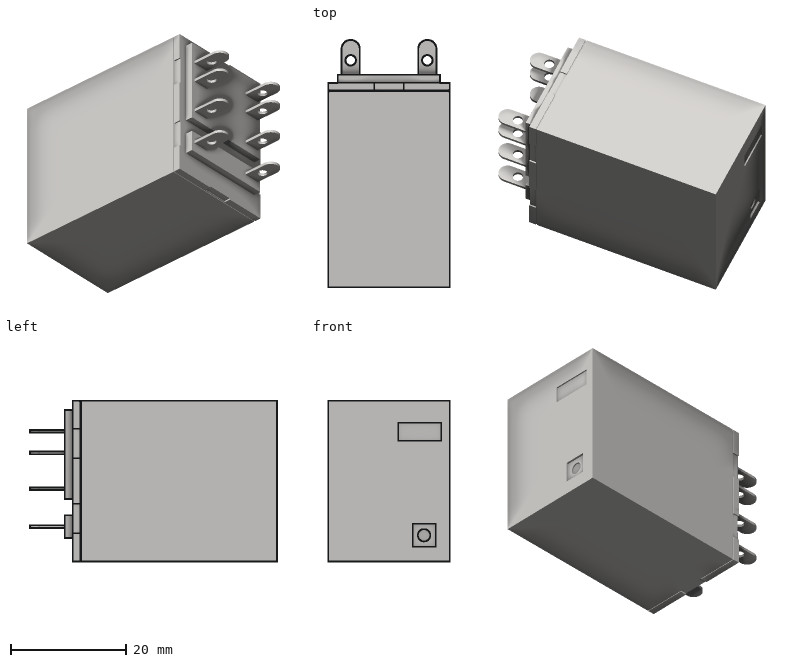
import cadquery as cq

WIDTH = 21.08
HEIGHT = 27.94
TOTAL_LENGTH = 42.926

SEAM_LENGTH = 0.2
PLATE_LENGTH = 1.27
PAD_LENGTH = 1.4
TAB_LENGTH = 6.05
CASE_LENGTH = TOTAL_LENGTH - SEAM_LENGTH - PLATE_LENGTH - PAD_LENGTH - TAB_LENGTH

CASE_BACK = CASE_LENGTH
PLATE_FRONT = CASE_BACK + SEAM_LENGTH
PLATE_BACK = PLATE_FRONT + PLATE_LENGTH
PAD_BACK = PLATE_BACK + PAD_LENGTH

SEAM_DEPTH = 0.127

NOTCH_WIDTH = 5.08
NOTCH_DEPTH = 0.254
SIDE_NOTCH_OFFSET = 6.5

PAD_WIDTH = 17.78
UPPER_PAD_TOP = 12.37
UPPER_PAD_BOTTOM = -3.12
LOWER_PAD_TOP = -5.9
LOWER_PAD_BOTTOM = -9.9

TAB_WIDTH = 3.2
TAB_THICKNESS = 0.5
TAB_COLUMN_SPACING = 13.3
TAB_ROW_HEIGHTS = (8.65, 4.9, -1.33, -7.9)
TAB_HOLE_DIAMETER = 1.78
TAB_HOLE_FROM_TIP = 3.55

WINDOW_WIDTH = 7.47
WINDOW_HEIGHT = 3.18
WINDOW_X = 5.33
WINDOW_Z = 8.57
WINDOW_DEPTH = 0.25
BUTTON_RECESS_SIZE = 4.0
BUTTON_X = 6.08
BUTTON_Z = -9.4
BUTTON_RECESS_DEPTH = 0.38
BUTTON_DIAMETER = 2.16
BUTTON_DEPTH = 0.25


def block(width, height, front, length, x=0, z=0):
    """Box centred at x and z that runs back from the given front plane."""
    return cq.Workplane("XY").box(width, length, height).translate((x, front + length / 2, z))


def make_case():
    case = block(WIDTH, HEIGHT, 0, CASE_LENGTH)
    window = block(WINDOW_WIDTH, WINDOW_HEIGHT, 0, WINDOW_DEPTH, WINDOW_X, WINDOW_Z)
    recess = block(BUTTON_RECESS_SIZE, BUTTON_RECESS_SIZE, 0, BUTTON_RECESS_DEPTH, BUTTON_X, BUTTON_Z)
    button_hole = (
        cq.Workplane("XZ", origin=(BUTTON_X, 0, BUTTON_Z))
        .circle(BUTTON_DIAMETER / 2)
        .extrude(-(BUTTON_RECESS_DEPTH + BUTTON_DEPTH))
    )
    return case.cut(window).cut(recess).cut(button_hole)


def make_seam():
    return block(WIDTH - 2 * SEAM_DEPTH, HEIGHT - 2 * SEAM_DEPTH, CASE_BACK, SEAM_LENGTH)


def make_plate():
    plate = block(WIDTH, HEIGHT, PLATE_FRONT, PLATE_LENGTH)
    for side in (-1, 1):
        edge_z = side * HEIGHT / 2
        plate = plate.cut(block(NOTCH_WIDTH, 2 * NOTCH_DEPTH, PLATE_FRONT, PLATE_LENGTH, 0, edge_z))
        edge_x = side * WIDTH / 2
        for z in (-SIDE_NOTCH_OFFSET, SIDE_NOTCH_OFFSET):
            plate = plate.cut(block(2 * NOTCH_DEPTH, NOTCH_WIDTH, PLATE_FRONT, PLATE_LENGTH, edge_x, z))
    return plate


def make_pad(top, bottom):
    return block(PAD_WIDTH, top - bottom, PLATE_BACK, PAD_LENGTH, 0, (top + bottom) / 2)


def make_tab(x, z):
    """Flat terminal with a round tip and a wire hole."""
    half_width = TAB_WIDTH / 2
    shoulder = TAB_LENGTH - half_width
    return (
        cq.Workplane("XY", origin=(x, PAD_BACK, z - TAB_THICKNESS / 2))
        .moveTo(-half_width, 0)
        .lineTo(-half_width, shoulder)
        .threePointArc((0, TAB_LENGTH), (half_width, shoulder))
        .lineTo(half_width, 0)
        .close()
        .moveTo(0, TAB_LENGTH - TAB_HOLE_FROM_TIP)
        .circle(TAB_HOLE_DIAMETER / 2)
        .extrude(TAB_THICKNESS)
    )


result = make_case().union(make_seam()).union(make_plate())
result = result.union(make_pad(UPPER_PAD_TOP, UPPER_PAD_BOTTOM))
result = result.union(make_pad(LOWER_PAD_TOP, LOWER_PAD_BOTTOM))
for tab_x in (-TAB_COLUMN_SPACING / 2, TAB_COLUMN_SPACING / 2):
    for tab_z in TAB_ROW_HEIGHTS:
        result = result.union(make_tab(tab_x, tab_z))